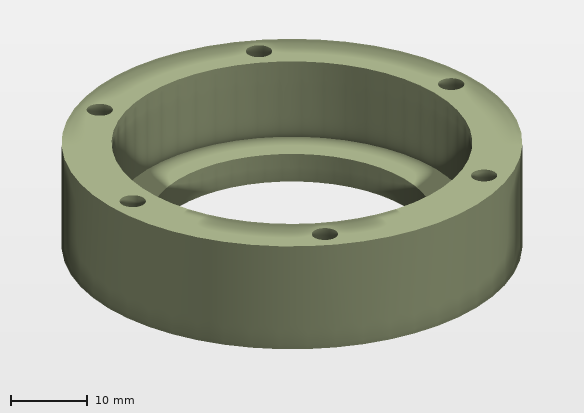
import cadquery as cq

outer_diameter = 60.0
height = 15.0

recess_diameter = 47.0
recess_depth = 11.0
opening_diameter = 37.0

bolt_hole_count = 6
bolt_hole_diameter = 3.4
bolt_circle_diameter = 53.5
first_bolt_angle = 90.0


def ring_body():
    """Cylinder standing on the XY plane with the stepped bore cut from its top."""
    return (
        cq.Workplane("XY")
        .circle(outer_diameter / 2)
        .extrude(height)
        .faces(">Z")
        .workplane()
        .cboreHole(opening_diameter, recess_diameter, recess_depth)
    )


def bolt_holes():
    """Evenly spaced pins that cut the bolt holes through the full height."""
    return (
        cq.Workplane("XY")
        .polarArray(bolt_circle_diameter / 2, first_bolt_angle, 360, bolt_hole_count)
        .circle(bolt_hole_diameter / 2)
        .extrude(height)
    )


result = ring_body().cut(bolt_holes())